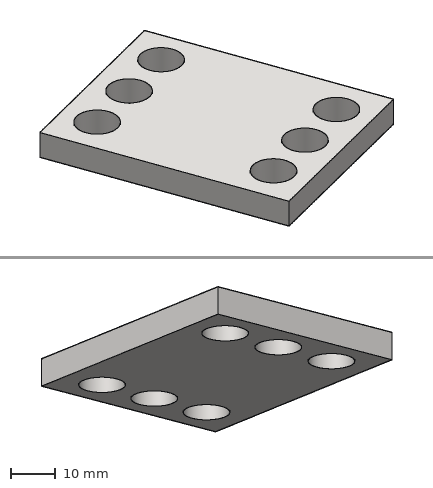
import cadquery as cq

plate_length = 62.99
plate_width = 49.78
plate_thickness = 6.5

hole_diameter = 10.41
column_offset = 22.3
bottom_row_y = -14.94
holes_per_column = 3
left_pitch = 15.2
right_pitch = -bottom_row_y


def column_points(x, pitch):
    """Hole centres of one column, from the bottom row upwards."""
    return [(x, bottom_row_y + row * pitch) for row in range(holes_per_column)]


def make_plate():
    return cq.Workplane("XY").box(
        plate_length, plate_width, plate_thickness, centered=(True, True, False)
    )


def drill_holes(plate):
    centres = column_points(-column_offset, left_pitch) + column_points(column_offset, right_pitch)
    return plate.faces(">Z").workplane(origin=(0, 0, 0)).pushPoints(centres).hole(hole_diameter)


result = drill_holes(make_plate())